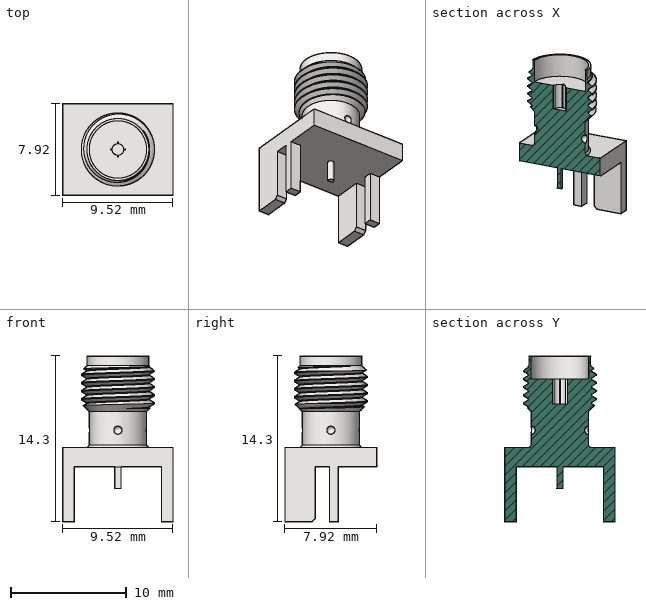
import cadquery as cq

total_height = 14.29
rim_base_z = 13.48
thread_base_z = 9.52
plate_top_z = 6.42
plate_bottom_z = 4.75
pin_bottom_z = 2.87

plate_x = 9.52
plate_y = 7.92
leg_thickness = 1.0
wide_leg_depth = 2.62
wide_leg_chamfer = 0.29
narrow_leg_depth = 0.77
narrow_leg_center_y = 0.26

pin_diameter = 0.56
pin_flat_offset = 0.13

neck_radius = 4.97 / 2
collar_radius = 5.29 / 2
collar_height = 0.2
rim_radius = 5.35 / 2
bore_diameter = 4.95
bore_depth = 1.97
bore_floor_z = total_height - bore_depth

crest_radius = 6.32 / 2
root_radius = 2.75
pitch = 0.7
crest_flat = 0.09
root_flat = 0.09
groove_start_z = 9.17
groove_turns = 7
groove_overlap = 0.03

socket_diameter = 1.0
socket_depth = 2.15
slot_span = 1.27
slot_width = 0.1

dimple_diameter = 0.7
dimple_z = 7.9
dimple_count = 4


def box(size_x, size_y, bottom_z, top_z):
    """Box centred on the Z axis between two heights."""
    return (
        cq.Workplane("XY")
        .workplane(offset=bottom_z)
        .rect(size_x, size_y)
        .extrude(top_z - bottom_z)
    )


def make_base():
    """Plate with a wide and a narrow leg at each X end, and the solder pin."""
    base = box(plate_x, plate_y, plate_bottom_z, plate_top_z)
    wide_leg = (
        box(leg_thickness, wide_leg_depth, 0, plate_bottom_z)
        .edges(">Y and <Z")
        .chamfer(wide_leg_chamfer)
    )
    narrow_leg = box(leg_thickness, narrow_leg_depth, 0, plate_bottom_z)
    leg_x = (plate_x - leg_thickness) / 2
    wide_leg_y = (wide_leg_depth - plate_y) / 2
    for x in (-leg_x, leg_x):
        base = base.union(wide_leg.translate((x, wide_leg_y, 0)))
        base = base.union(narrow_leg.translate((x, narrow_leg_center_y, 0)))
    pin_length = plate_bottom_z - pin_bottom_z
    pin = cq.Workplane("XY").workplane(offset=pin_bottom_z).circle(pin_diameter / 2).extrude(pin_length)
    flat_side = box(pin_diameter, pin_diameter, pin_bottom_z, plate_bottom_z)
    flat_side_y = -pin_flat_offset - pin_diameter / 2
    return base.union(pin.cut(flat_side.translate((0, flat_side_y, 0))))


def make_barrel_blank():
    """Turned barrel at full thread diameter, standing on the plate."""
    lower_cone_top_z = thread_base_z + crest_radius - neck_radius
    upper_cone_bottom_z = rim_base_z - (crest_radius - rim_radius)
    return (
        cq.Workplane("XZ")
        .moveTo(0, plate_top_z)
        .lineTo(collar_radius, plate_top_z)
        .lineTo(neck_radius, plate_top_z + collar_height)
        .lineTo(neck_radius, thread_base_z)
        .lineTo(crest_radius, lower_cone_top_z)
        .lineTo(crest_radius, upper_cone_bottom_z)
        .lineTo(rim_radius, rim_base_z)
        .lineTo(rim_radius, total_height)
        .lineTo(0, total_height)
        .close()
        .revolve(360, (0, 0), (0, 1))
    )


def make_groove_turn():
    """One turn of the helical V cutter, starting at the lowest point of the thread."""
    outer_radius = crest_radius + groove_overlap
    flank_slope = (pitch - crest_flat - root_flat) / 2 / (crest_radius - root_radius)
    root_half = root_flat / 2
    outer_half = root_half + flank_slope * (outer_radius - root_radius)
    helix = cq.Wire.makeHelix(pitch, pitch, root_radius)
    profile = cq.Workplane("XZ").polyline([
        (root_radius, -root_half),
        (outer_radius, -outer_half),
        (outer_radius, outer_half),
        (root_radius, root_half),
    ]).close()
    groove = profile.sweep(cq.Workplane(helix), isFrenet=True)
    return groove.translate((0, 0, groove_start_z))


def make_socket():
    """Contact hole in the bore floor, with two crossing slots."""
    socket_bottom_z = bore_floor_z - socket_depth
    hole = (
        cq.Workplane("XY")
        .workplane(offset=socket_bottom_z)
        .circle(socket_diameter / 2)
        .extrude(socket_depth)
    )
    slot_x = box(slot_span, slot_width, socket_bottom_z, bore_floor_z)
    slot_y = box(slot_width, slot_span, socket_bottom_z, bore_floor_z)
    return hole.union(slot_x).union(slot_y)


def make_dimples():
    """Spheres centred on the neck surface, evenly spaced around it."""
    return (
        cq.Workplane("XY")
        .workplane(offset=dimple_z)
        .polarArray(neck_radius, 0, 360, dimple_count)
        .sphere(dimple_diameter / 2)
    )


barrel = make_barrel_blank()
groove_turn = make_groove_turn()
for turn in range(groove_turns):
    barrel = barrel.cut(groove_turn.translate((0, 0, turn * pitch)))

bore = (
    cq.Workplane("XY")
    .workplane(offset=bore_floor_z)
    .circle(bore_diameter / 2)
    .extrude(bore_depth)
)
barrel = barrel.cut(bore).cut(make_socket()).cut(make_dimples())

result = make_base().union(barrel)